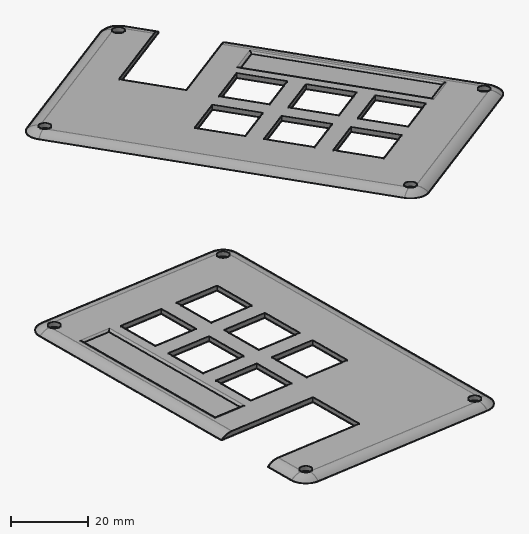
import cadquery as cq
import math

plate_length = 110.49
plate_width = 67.62
plate_thickness = 1.5
edge_radius = 5.0
corner_radius = 5.0

screw_hole_diameter = 3.4

key_size = 13.9
key_pitch = 19.05
key_columns = 3
key_rows = 2
first_key_x = -6.3
first_key_y = 9.05

notch_width = 18.5
notch_depth = 31.2
notch_center_x = -31.65

panel_length = 54.2
panel_width = 10.3
panel_center_x = 12.7
panel_center_y = 24.1
panel_depth = 0.5
panel_rim_radius = 1.0
panel_rim_run = math.sqrt(panel_rim_radius**2 - (panel_rim_radius - panel_depth) ** 2)

edge_drop = edge_radius - plate_thickness
edge_run = math.sqrt(edge_radius**2 - edge_drop**2)
arc_half_angle = math.acos(edge_drop / edge_radius) / 2


def edge_waste_profile(plane):
    """Region outside the convex edge; local x points outward, local y up, origin on the bottom rim."""
    arc_middle = (
        edge_radius * math.sin(arc_half_angle) - edge_run,
        edge_radius * math.cos(arc_half_angle) - edge_drop,
    )
    return (
        cq.Workplane(plane)
        .moveTo(0, 0)
        .threePointArc(arc_middle, (-edge_run, plate_thickness))
        .lineTo(0, plate_thickness)
        .close()
    )


def make_plate():
    blank = (
        cq.Workplane("XY")
        .rect(plate_length, plate_width)
        .extrude(plate_thickness)
        .edges("|Z")
        .fillet(corner_radius)
    )
    rim_path = blank.faces("<Z").wires().val()
    side = cq.Plane(origin=(plate_length / 2, 0, 0), xDir=(1, 0, 0), normal=(0, -1, 0))
    waste = edge_waste_profile(side).sweep(cq.Workplane(rim_path))
    return blank.cut(waste)


def make_screw_holes():
    spacing_x = plate_length - 2 * corner_radius
    spacing_y = plate_width - 2 * corner_radius
    return (
        cq.Workplane("XY")
        .rect(spacing_x, spacing_y, forConstruction=True)
        .vertices()
        .circle(screw_hole_diameter / 2)
        .extrude(plate_thickness)
    )


def make_key_openings():
    centers = [
        (first_key_x + column * key_pitch, first_key_y - row * key_pitch)
        for column in range(key_columns)
        for row in range(key_rows)
    ]
    return cq.Workplane("XY").pushPoints(centers).rect(key_size, key_size).extrude(plate_thickness)


def make_notch():
    center_y = (plate_width - notch_depth) / 2
    return (
        cq.Workplane("XY")
        .center(notch_center_x, center_y)
        .rect(notch_width, notch_depth)
        .extrude(plate_thickness)
    )


def recess_prism(plane, span, length):
    """Prism with the recess cross-section: flat floor, convex arc on each side, open at the top face."""
    half_top = span / 2
    half_floor = half_top - panel_rim_run
    half_arc_angle = math.acos(1 - panel_depth / panel_rim_radius) / 2
    arc_x = half_top - panel_rim_radius * math.sin(half_arc_angle)
    arc_y = panel_rim_radius * (math.cos(half_arc_angle) - 1)
    return (
        cq.Workplane(plane)
        .moveTo(-half_top, 0)
        .threePointArc((-arc_x, arc_y), (-half_floor, -panel_depth))
        .lineTo(half_floor, -panel_depth)
        .threePointArc((arc_x, arc_y), (half_top, 0))
        .close()
        .extrude(length / 2, both=True)
    )


def make_panel_recess():
    """Intersect a lengthwise and a crosswise prism so the rounded sides meet in mitred corners."""
    center = (panel_center_x, panel_center_y, plate_thickness)
    across_x = cq.Plane(origin=center, xDir=(1, 0, 0), normal=(0, -1, 0))
    across_y = cq.Plane(origin=center, xDir=(0, 1, 0), normal=(1, 0, 0))
    return recess_prism(across_x, panel_length, panel_width).intersect(
        recess_prism(across_y, panel_width, panel_length)
    )


result = (
    make_plate()
    .cut(make_panel_recess())
    .cut(make_screw_holes())
    .cut(make_key_openings())
    .cut(make_notch())
)